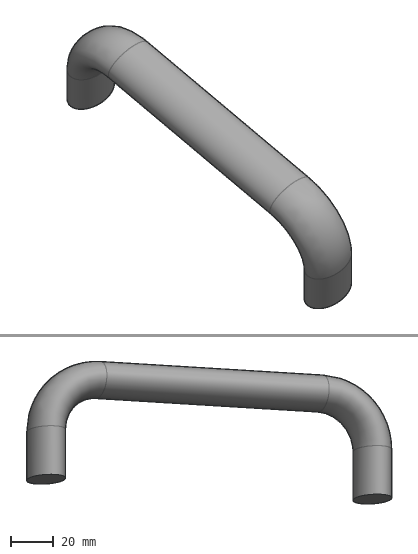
import cadquery as cq

mounting_pitch = 160.0
grip_width = 26.0
grip_thickness = 17.0
overall_height = 57.0
inner_bend_radius = 17.0

bend_radius = inner_bend_radius + grip_thickness / 2
half_pitch = mounting_pitch / 2
bar_height = overall_height - grip_thickness / 2
leg_height = bar_height - bend_radius
bar_half_length = half_pitch - bend_radius


def handle_path():
    """Left leg, bend, grip bar, bend and right leg as one tangent wire."""
    return (
        cq.Workplane("XZ")
        .moveTo(-half_pitch, 0)
        .lineTo(-half_pitch, leg_height)
        .tangentArcPoint((-bar_half_length, bar_height), relative=False)
        .lineTo(bar_half_length, bar_height)
        .tangentArcPoint((half_pitch, leg_height), relative=False)
        .lineTo(half_pitch, 0)
    )


def handle():
    """Oval section swept along the centreline from the foot of the left leg."""
    section = cq.Workplane("XY").center(-half_pitch, 0).ellipse(grip_thickness / 2, grip_width / 2)
    return section.sweep(handle_path())


result = handle()